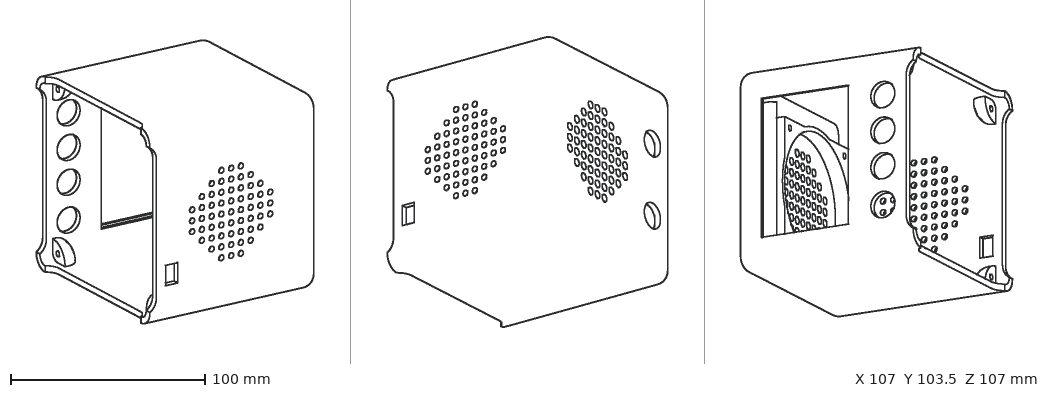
import cadquery as cq

SIDE = 107.0
DEPTH = 103.5
WALL = 3.5
CORNER_RADIUS = 8.5
BACK_EDGE_RADIUS = 6.0
HALF = SIDE / 2
INNER_HALF = HALF - WALL
FRONT_Y = -DEPTH / 2
BACK_Y = DEPTH / 2
BACK_INNER_Y = BACK_Y - WALL
CORNER_CENTER = HALF - CORNER_RADIUS

RELIEF_DEPTH = 4.0
RELIEF_RUN = 7.1

BOSS_RADIUS = 11.8
BOSS_RECESS = 7.8
BOSS_RIM = 1.9
BOSS_BACK_RADIUS = 8.0
BOSS_LENGTH = BOSS_RIM + BOSS_BACK_RADIUS
SCREW_DIAMETER = 3.0

SPEAKER_X = 11.6
FRAME_SIDE = 70.0
FRAME_RING_DIAMETER = 74.9
FRAME_BORE_DIAMETER = 70.0
FRAME_HEIGHT = 8.5
FRAME_SCREW_SPACING_X = 58.6
FRAME_SCREW_SPACING_Z = 60.6

GRILLE_PITCH = 6.0
GRILLE_ROWS = (3, 5, 7, 9, 9, 9, 7, 5, 3)
BACK_GRILLE_DIAMETER = 4.0
SIDE_GRILLE_DIAMETER = 3.0
SIDE_GRILLE_Y = -1.8

BACK_HOLE_DIAMETER = 14.0
BACK_HOLE_X = -36.1
BACK_HOLE_SPACING = 40.0

WINDOW_BACK_Y = 37.1
WINDOW_WIDTH = 51.0
WINDOW_TOP = 36.7
WINDOW_BOTTOM = -37.8
WINDOW_LIP = 1.5
BUTTON_DIAMETER = 14.0
BUTTON_Y = -34.0
BUTTON_HEIGHTS = (28.8, 9.7, -9.3, -30.1)

RECESS_HALF_HEIGHT = 39.1
RECESS_DEPTH = WALL - WINDOW_LIP
STOP_X = -45.8
STOP_DEPTH = 3.0
RIB_HALF_HEIGHT = 37.0
RIB_X = -44.8
RIB_THICKNESS = 2.0
RIB_ROUND_LENGTH = 4.3
RIB_TIP_REACH = 3.1

PORT_Y = -38.3
PORT_WIDTH = 7.5
PORT_BOTTOM = -32.3
PORT_HEIGHT = 11.1


def box(x_min, x_max, y_min, y_max, z_min, z_max):
    size = (x_max - x_min, y_max - y_min, z_max - z_min)
    return cq.Workplane("XY").box(*size, centered=False).translate((x_min, y_min, z_min))


def cylinder_y(x, z, y_start, length, diameter):
    """Cylinder running toward +Y from y_start."""
    return cq.Workplane(
        cq.Solid.makeCylinder(diameter / 2, length, cq.Vector(x, y_start, z), cq.Vector(0, 1, 0))
    )


def cylinder_x(y, z, x_start, length, diameter):
    """Cylinder running toward +X from x_start."""
    return cq.Workplane(
        cq.Solid.makeCylinder(diameter / 2, length, cq.Vector(x_start, y, z), cq.Vector(1, 0, 0))
    )


def grille_offsets():
    middle_row = (len(GRILLE_ROWS) - 1) / 2
    offsets = []
    for row, count in enumerate(GRILLE_ROWS):
        for column in range(count):
            across = (column - (count - 1) / 2) * GRILLE_PITCH
            offsets.append((across, (row - middle_row) * GRILLE_PITCH))
    return offsets


def outer_block():
    block = box(-HALF, HALF, FRONT_Y, BACK_Y, -HALF, HALF)
    return block.edges("|Y").fillet(CORNER_RADIUS).faces(">Y").edges().fillet(BACK_EDGE_RADIUS)


def cavity():
    inner = box(-INNER_HALF, INNER_HALF, FRONT_Y, BACK_INNER_Y, -INNER_HALF, INNER_HALF)
    return inner.edges("|Y").fillet(CORNER_RADIUS - WALL)


def rim_relief():
    """Shallow trough across the front with rounded ends, running along Z."""
    floor_y = FRONT_Y + RELIEF_DEPTH
    half_trough = (
        cq.Workplane("XY")
        .moveTo(0, FRONT_Y)
        .lineTo(0, floor_y)
        .lineTo(CORNER_CENTER - RELIEF_RUN, floor_y)
        .tangentArcPoint((CORNER_CENTER, FRONT_Y), relative=False)
        .close()
        .extrude(HALF, both=True)
    )
    return half_trough.union(half_trough.mirror("YZ"))


def screw_bosses():
    """Discs with a rounded back edge, trimmed by the walls they stand on."""
    boss = cylinder_y(0, 0, FRONT_Y + BOSS_RECESS, BOSS_LENGTH, 2 * BOSS_RADIUS)
    boss = boss.faces(">Y").edges().fillet(BOSS_BACK_RADIUS)
    bosses = cq.Workplane("XY")
    for x in (-INNER_HALF, INNER_HALF):
        for z in (-INNER_HALF, INNER_HALF):
            bosses = bosses.add(boss.translate((x, 0, z)))
    return bosses.combine().intersect(outer_block())


def speaker_frame():
    front_y = BACK_INNER_Y - FRAME_HEIGHT
    half = FRAME_SIDE / 2
    frame = box(SPEAKER_X - half, SPEAKER_X + half, front_y, BACK_INNER_Y, -half, half)
    frame = frame.union(cylinder_y(SPEAKER_X, 0, front_y, FRAME_HEIGHT, FRAME_RING_DIAMETER))
    frame = frame.cut(cylinder_y(SPEAKER_X, 0, front_y, FRAME_HEIGHT, FRAME_BORE_DIAMETER))
    for x in (-FRAME_SCREW_SPACING_X / 2, FRAME_SCREW_SPACING_X / 2):
        for z in (-FRAME_SCREW_SPACING_Z / 2, FRAME_SCREW_SPACING_Z / 2):
            frame = frame.cut(cylinder_y(SPEAKER_X + x, z, front_y, FRAME_HEIGHT, SCREW_DIAMETER))
    return frame


def display_holder():
    stop_y = WINDOW_BACK_Y + STOP_DEPTH
    stop = box(-INNER_HALF, STOP_X, stop_y, BACK_INNER_Y, -RECESS_HALF_HEIGHT, RECESS_HALF_HEIGHT)
    tip_x = RIB_X + RIB_THICKNESS
    tip_y = WINDOW_BACK_Y - RIB_TIP_REACH
    rib = (
        cq.Workplane("XY")
        .moveTo(RIB_X, BACK_INNER_Y)
        .lineTo(RIB_X, tip_y + RIB_ROUND_LENGTH)
        .tangentArcPoint((tip_x, tip_y), relative=False)
        .lineTo(tip_x, BACK_INNER_Y)
        .close()
        .extrude(RIB_HALF_HEIGHT, both=True)
    )
    return stop.union(rib)


def display_recess():
    """Pocket on the inside of the -X wall that leaves a thin lip around the window."""
    return box(
        -INNER_HALF - RECESS_DEPTH,
        -INNER_HALF,
        WINDOW_BACK_Y - WINDOW_WIDTH,
        WINDOW_BACK_Y + STOP_DEPTH,
        -RECESS_HALF_HEIGHT,
        RECESS_HALF_HEIGHT,
    )


def back_openings(body):
    for z in (-BACK_HOLE_SPACING / 2, BACK_HOLE_SPACING / 2):
        body = body.cut(cylinder_y(BACK_HOLE_X, z, BACK_INNER_Y, WALL, BACK_HOLE_DIAMETER))
    holes = cq.Workplane("XY")
    for across, z in grille_offsets():
        holes = holes.add(cylinder_y(SPEAKER_X + across, z, BACK_INNER_Y, WALL, BACK_GRILLE_DIAMETER))
    return body.cut(holes.combine())


def display_side_openings(body):
    front = WINDOW_BACK_Y - WINDOW_WIDTH
    body = body.cut(box(-HALF, -INNER_HALF, front, WINDOW_BACK_Y, WINDOW_BOTTOM, WINDOW_TOP))
    body = body.cut(display_recess())
    for z in BUTTON_HEIGHTS:
        body = body.cut(cylinder_x(BUTTON_Y, z, -HALF, WALL, BUTTON_DIAMETER))
    return body


def port_side_openings(body):
    half = PORT_WIDTH / 2
    top = PORT_BOTTOM + PORT_HEIGHT
    body = body.cut(box(INNER_HALF, HALF, PORT_Y - half, PORT_Y + half, PORT_BOTTOM, top))
    holes = cq.Workplane("XY")
    for across, z in grille_offsets():
        holes = holes.add(cylinder_x(SIDE_GRILLE_Y + across, z, INNER_HALF, WALL, SIDE_GRILLE_DIAMETER))
    return body.cut(holes.combine())


def boss_screw_holes():
    holes = cq.Workplane("XY")
    for x in (-CORNER_CENTER, CORNER_CENTER):
        for z in (-CORNER_CENTER, CORNER_CENTER):
            holes = holes.add(cylinder_y(x, z, FRONT_Y + BOSS_RECESS, BOSS_LENGTH, SCREW_DIAMETER))
    return holes.combine()


body = outer_block().cut(cavity())
body = body.cut(rim_relief())
body = body.cut(rim_relief().rotate((0, 0, 0), (0, 1, 0), 90))
body = body.union(screw_bosses()).cut(boss_screw_holes())
body = body.union(speaker_frame()).union(display_holder())
body = back_openings(body)
body = display_side_openings(body)
body = port_side_openings(body)
result = body